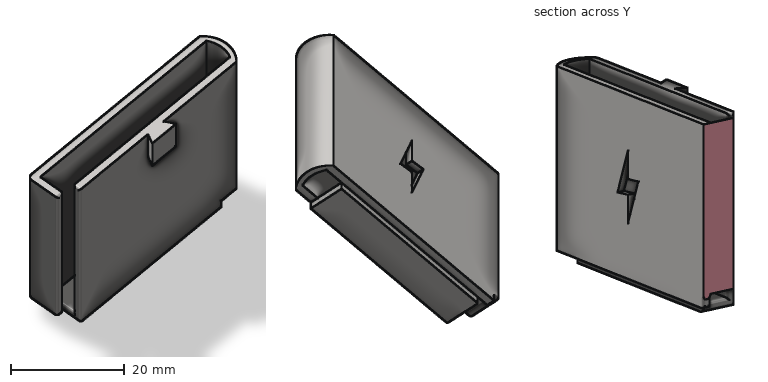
import cadquery as cq


wall = 1.6
body_width = 8.8
total_length = 46.72
total_height = 35.6
edge_radius = 0.5

straight_length = 44.8
inner_bulge = 0.7

lip_reach = 7.1
lip_bottom = 3.6
lip_corner_radius = 1.0
notch_radius = 0.5
entry_gap = 2.5

floor_back = 40.8

tab_depth = 2.0
tab_height = 6.0
tab_root = 4.1
tab_tip = 6.2
tab_center = 23.8

bolt_center = (23.8, 18.55)
bolt_depth = 1.4
bolt_half_height = 6.7
bolt_half_width = 3.05
bolt_tip_rise = 1.75
bolt_notch_rise = 1.45

far_face = body_width
far_inner = body_width - wall
far_front = wall + entry_gap
hollow_start = wall - notch_radius
mid_width = body_width / 2
back_apex = straight_length + inner_bulge


def make_near_wall():
    """Near wall, with a hollow corner under the lip and its lower end edges rounded."""
    profile = (
        cq.Workplane("YZ")
        .moveTo(wall, wall)
        .lineTo(wall, lip_bottom - notch_radius)
        .radiusArc((hollow_start, lip_bottom), -notch_radius)
        .lineTo(hollow_start, total_height)
        .lineTo(straight_length, total_height)
        .lineTo(straight_length, wall)
        .close()
    )
    plate = profile.extrude(wall)
    end_face_center = (wall / 2, wall, (lip_bottom - notch_radius + wall) / 2)
    end_face = plate.faces(cq.selectors.NearestToPointSelector(end_face_center))
    return end_face.edges("|Z or <Z").fillet(edge_radius)


def make_lip():
    """Front lip across the open end, rounded at its underside and free end."""
    lip = cq.Workplane("XY", origin=(0, 0, lip_bottom)).box(
        lip_reach, wall, total_height - lip_bottom, centered=False
    )
    lip = lip.edges("|Z and <X and <Y").fillet(lip_corner_radius)
    return lip.faces("<Z or >X").edges().fillet(edge_radius)


def make_far_side():
    """Far wall and floor, rounded all around their open end."""
    far_wall = cq.Workplane("XY", origin=(far_inner, far_front, wall)).box(
        wall, straight_length - far_front, total_height - wall, centered=False
    )
    floor = cq.Workplane("XY", origin=(wall, far_front, 0)).box(
        body_width - wall, floor_back - far_front, wall, centered=False
    )
    return far_wall.union(floor).faces("<Y").edges().fillet(edge_radius)


def make_back():
    """Bowed wall that joins the two sides."""
    return (
        cq.Workplane("XY", origin=(0, 0, wall))
        .moveTo(0, straight_length)
        .threePointArc((mid_width, total_length), (far_face, straight_length))
        .lineTo(far_inner, straight_length)
        .threePointArc((mid_width, back_apex), (wall, straight_length))
        .close()
        .extrude(total_height - wall)
    )


def make_tab():
    """Dovetail tab, flush with the top, widening away from the far wall."""
    return (
        cq.Workplane("XY", origin=(far_face, tab_center, total_height - tab_height))
        .polyline(
            [
                (0, -tab_root / 2),
                (tab_depth, -tab_tip / 2),
                (tab_depth, tab_tip / 2),
                (0, tab_root / 2),
            ]
        )
        .close()
        .extrude(tab_height)
    )


def make_bolt_cutter():
    """Point-symmetric lightning bolt sunk into the near wall."""
    half = [
        (0, bolt_half_height),
        (0, bolt_notch_rise),
        (-bolt_half_width, bolt_tip_rise),
    ]
    opposite = [(-y, -z) for y, z in half]
    return (
        cq.Workplane("YZ", origin=(0, *bolt_center))
        .polyline(half + opposite)
        .close()
        .extrude(bolt_depth)
    )


result = (
    make_near_wall()
    .union(make_lip())
    .union(make_back())
    .union(make_far_side())
    .union(make_tab())
    .cut(make_bolt_cutter())
    .solids()
)